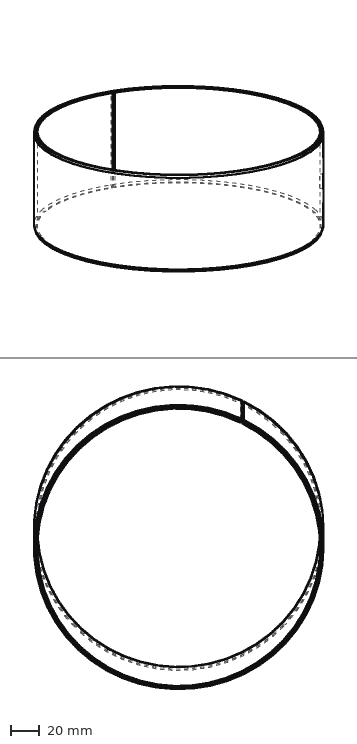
import cadquery as cq

outer_diameter = 200.0
height = 70.0
wall = 2.5
outer_radius = outer_diameter / 2
inner_radius = outer_radius - wall

outer_chamfer_height = 1.8
outer_chamfer_width = 0.5
inner_chamfer = 0.8

slit_angle = 1.0

hole_diameter = 10.0
hole_angle = 59.0
hole_height = height / 2


def make_ring():
    """Revolve the wall section, chamfered at all four corners, about Z, leaving the slit open."""
    section = [
        (inner_radius + inner_chamfer, 0),
        (outer_radius - outer_chamfer_width, 0),
        (outer_radius, outer_chamfer_height),
        (outer_radius, height - outer_chamfer_height),
        (outer_radius - outer_chamfer_width, height),
        (inner_radius + inner_chamfer, height),
        (inner_radius, height - inner_chamfer),
        (inner_radius, inner_chamfer),
    ]
    profile = cq.Workplane("XZ").polyline(section).close()
    ring = profile.revolve(360 - slit_angle, (0, 0), (0, 1))
    return ring.rotate((0, 0, 0), (0, 0, 1), 180)


def make_hole():
    """Radial cylinder crossing the wall on one side only."""
    cylinder = cq.Workplane("YZ").center(0, hole_height).circle(hole_diameter / 2).extrude(outer_diameter)
    return cylinder.rotate((0, 0, 0), (0, 0, 1), hole_angle)


result = make_ring().cut(make_hole())